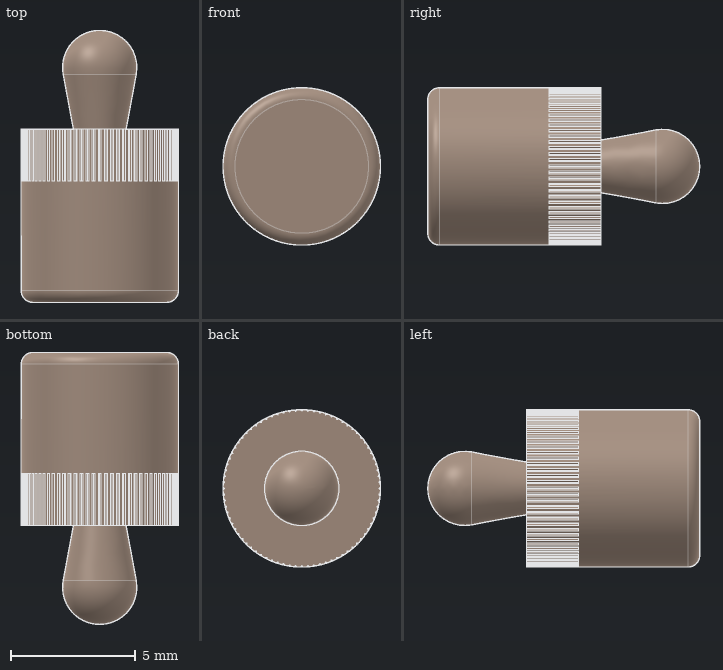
import cadquery as cq
import math

overall_length = 10.96

housing_diameter = 6.35
housing_length = 6.98
edge_radius = 0.48

knurl_length = 2.09
groove_count = 80
groove_width = 0.12

head_radius = 1.5
taper_angle = 10.5

housing_radius = housing_diameter / 2
head_center_y = overall_length - head_radius


def make_groove_cutter():
    """Prism along Y at the top of the housing, its 90-degree edge pointing at the axis."""
    edge_height = math.sqrt(housing_radius**2 - (groove_width / 2) ** 2)
    root_height = edge_height - groove_width / 2
    top_height = root_height + groove_width
    return (
        cq.Workplane("XZ", origin=(0, housing_length, 0))
        .moveTo(0, root_height)
        .lineTo(groove_width, top_height)
        .lineTo(-groove_width, top_height)
        .close()
        .extrude(knurl_length)
    )


def make_housing():
    body = cq.Workplane("XZ").circle(housing_radius).extrude(-housing_length)
    body = body.faces("<Y").edges().fillet(edge_radius)
    groove_cutter = make_groove_cutter()
    pitch_angle = 360 / groove_count
    groove_cutters = [
        groove_cutter.rotate((0, 0, 0), (0, 1, 0), index * pitch_angle).val()
        for index in range(groove_count)
    ]
    return body.cut(cq.Workplane(cq.Compound.makeCompound(groove_cutters)))


def make_pin():
    """Ball-headed pin whose cone runs tangent from the ball down to the housing's end face."""
    taper = math.radians(taper_angle)
    ball_height = head_center_y - housing_length
    neck_radius = (head_radius - ball_height * math.sin(taper)) / math.cos(taper)

    def ball_point(angle):
        return (-head_radius * math.cos(angle), head_center_y + head_radius * math.sin(angle))

    return (
        cq.Workplane("XY")
        .moveTo(0, housing_length)
        .lineTo(-neck_radius, housing_length)
        .lineTo(*ball_point(-taper))
        .threePointArc(ball_point(math.pi / 4), (0, overall_length))
        .close()
        .revolve(360, (0, 0), (0, 1))
    )


housing = make_housing()
pin = make_pin()

result = cq.Compound.makeCompound([housing.val(), pin.val()])